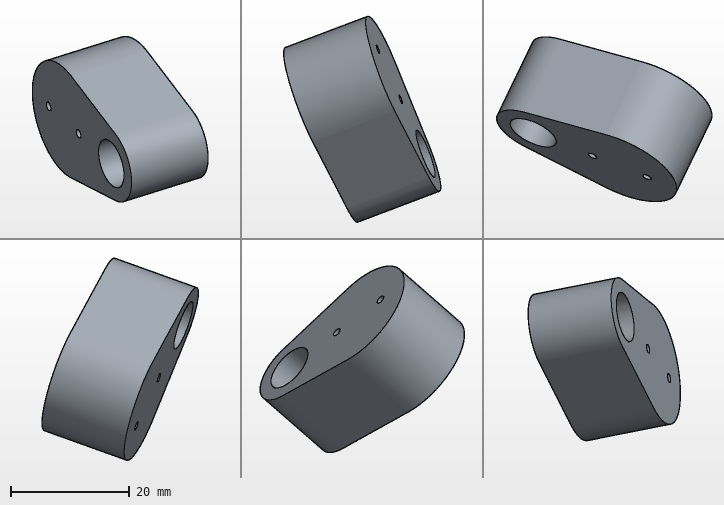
import cadquery as cq
import math

length = 33.2
depth = 15.0
large_radius = 10.5
small_radius = 6.77
bore_diameter = 8.5
pin_hole_diameter = 1.5
pin_hole_offset = 5.0

center_distance = length - large_radius - small_radius
tangent_sine = (large_radius - small_radius) / center_distance
tangent_cosine = math.sqrt(1 - tangent_sine**2)


def tangent_point(center_x, radius, side):
    """Point where a flank meets an end arc; side is +1 above and -1 below."""
    return (center_x + radius * tangent_sine, side * radius * tangent_cosine)


def make_body():
    """Two round ends joined by straight tangent flanks, extruded along Y."""
    return (
        cq.Workplane("XZ")
        .moveTo(*tangent_point(0, large_radius, 1))
        .lineTo(*tangent_point(center_distance, small_radius, 1))
        .threePointArc(
            (center_distance + small_radius, 0),
            tangent_point(center_distance, small_radius, -1),
        )
        .lineTo(*tangent_point(0, large_radius, -1))
        .threePointArc((-large_radius, 0), tangent_point(0, large_radius, 1))
        .close()
        .extrude(depth)
    )


def make_through_hole(center_x, diameter):
    """Cylinder that cuts a hole through the full depth."""
    return cq.Workplane("XZ").center(center_x, 0).circle(diameter / 2).extrude(depth)


result = make_body().cut(make_through_hole(center_distance, bore_diameter))
for hole_x in (-pin_hole_offset, pin_hole_offset):
    result = result.cut(make_through_hole(hole_x, pin_hole_diameter))